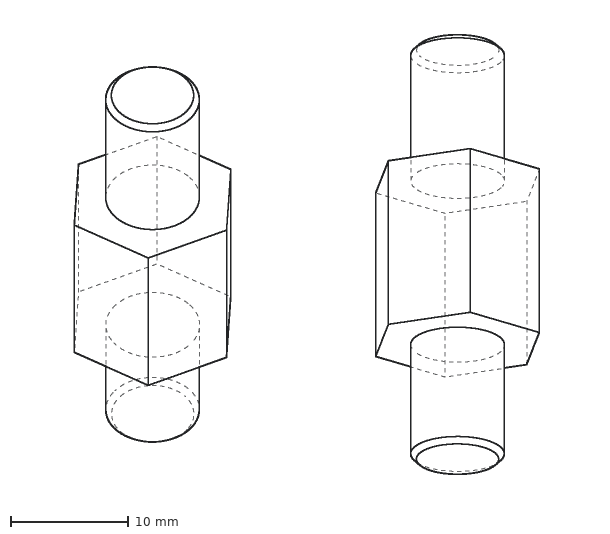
import cadquery as cq

total_length = 37.5
hex_across_corners = 15.0
hex_length = 15.0
stud_diameter = 8.0
lower_stud_length = 10.5
end_chamfer = 0.5

pin = (
    cq.Workplane("XY")
    .circle(stud_diameter / 2)
    .extrude(total_length)
    .faces("<Z or >Z")
    .edges()
    .chamfer(end_chamfer)
)

hex_body = (
    cq.Workplane("XY")
    .workplane(offset=lower_stud_length)
    .polygon(6, hex_across_corners)
    .extrude(hex_length)
)

result = hex_body.union(pin)